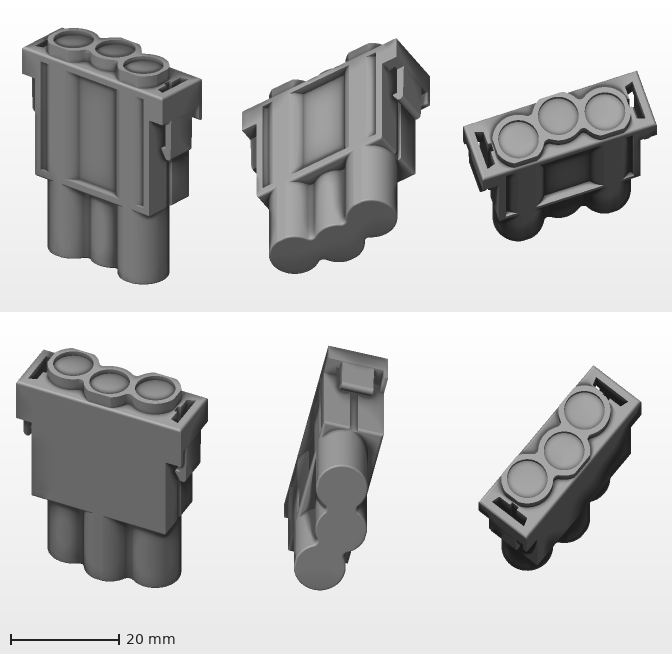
import cadquery as cq
import math

TOP_Z = 42.9
FLANGE_TOP_Z = 40.4
FLANGE_BOTTOM_Z = 34.9
LIP_BOTTOM_Z = 32.0
HOUSING_BOTTOM_Z = 14.9

FLANGE_LENGTH = 34.0
HOUSING_LENGTH = 27.63
BODY_WIDTH = 11.4
EDGE_RADIUS = 0.5
LIP_THICKNESS = 0.85
LIP_RADIUS = 0.45

BARREL_PITCH = 8.45
BARREL_STAGGER = 1.0
BARREL_RADIUS = 4.8
VALLEY_RADIUS = 1.0
BARREL_CENTERS = [
    (-BARREL_PITCH, -BARREL_STAGGER),
    (0, BARREL_STAGGER),
    (BARREL_PITCH, -BARREL_STAGGER),
]
BARREL_END_RADIUS = 0.35
COLLAR_LENGTH = 26.0
COLLAR_WIDTH = 10.45
POCKET_DIAMETER = 7.5
POCKET_DEPTH = 1.0

WINDOW_BOTTOM_Z = 16.5
WINDOW_TOP_Z = 38.85
SLEEVE_RADIUS = 5.05
SIDE_WINDOW_OUTER_X = 12.5
WINDOW_CORNER_RADIUS = 0.55

SLOT_OUTER_X = 15.45
SLOT_OUTER_WIDTH = 7.65
SLOT_INNER_WIDTH = 6.6
GROOVE_FLOOR_X = 13.15
GROOVE_WIDTH = 1.6

LATCH_WIDTH = 6.0
LATCH_ROOT_X = 16.9
LATCH_END_X = 16.75
HOOK_TIP_X = 14.5
HOOK_TOP_Z = 28.53
HOOK_NOSE = 0.3
LATCH_ROUND_Z = 27.15
LATCH_BOTTOM_Z = 26.43
RAMP_END_X = 15.35
RAMP_END_Z = 26.85

FRONT_Y = -BODY_WIDTH / 2
HOUSING_END_X = HOUSING_LENGTH / 2


def block(x_min, x_max, y_min, y_max, z_min, z_max):
    """Box given by its limits on each axis."""
    size = (x_max - x_min, y_max - y_min, z_max - z_min)
    return cq.Workplane("XY").box(*size, centered=False).translate((x_min, y_min, z_min))


def centered_block(length, width, z_min, z_max):
    """Box centered on the Z axis."""
    return block(-length / 2, length / 2, -width / 2, width / 2, z_min, z_max)


def both_ends(shape):
    """The shape together with its mirror image on the -X end."""
    return shape.union(shape.mirror("YZ"))


def barrel_row(length, width, z_min, z_max):
    """Three merged barrels with rounded valleys, trimmed flat to a length and width."""
    row = cq.Workplane("XY")
    for x, y in BARREL_CENTERS:
        barrel = cq.Workplane("XY", origin=(x, y, z_min)).circle(BARREL_RADIUS).extrude(z_max - z_min)
        row = row.union(barrel)
    valley_zone = cq.selectors.BoxSelector(
        (-BARREL_PITCH, FRONT_Y, z_min), (BARREL_PITCH, -FRONT_Y, z_max)
    )
    row = row.edges("|Z").edges(valley_zone).fillet(VALLEY_RADIUS)
    return row.intersect(centered_block(length, width, z_min, z_max))


def flange():
    """Top plate with a rounded rim and a lip at the back of each end."""
    plate = centered_block(FLANGE_LENGTH, BODY_WIDTH, FLANGE_BOTTOM_Z, FLANGE_TOP_Z)
    plate = plate.faces(">Z").edges().fillet(EDGE_RADIUS)
    back_y = BODY_WIDTH / 2
    lip = block(
        HOUSING_END_X, FLANGE_LENGTH / 2, back_y - LIP_THICKNESS, back_y, LIP_BOTTOM_Z, FLANGE_BOTTOM_Z
    )
    lip = lip.edges("<Y and <Z").fillet(LIP_RADIUS)
    return plate.union(both_ends(lip))


def housing():
    """Main block between the flange and the lower barrels, flush with the flange front."""
    body = centered_block(HOUSING_LENGTH, BODY_WIDTH, HOUSING_BOTTOM_Z, FLANGE_TOP_Z - EDGE_RADIUS)
    return body.faces("<Z").edges().fillet(EDGE_RADIUS)


def latch():
    """Slightly tapered arm with an inward hook and a rounded tip."""
    arm_inner_x = SLOT_OUTER_X
    return (
        cq.Workplane("XZ", origin=(0, LATCH_WIDTH / 2, 0))
        .moveTo(arm_inner_x, FLANGE_BOTTOM_Z)
        .lineTo(LATCH_ROOT_X, FLANGE_BOTTOM_Z)
        .lineTo(LATCH_END_X, LATCH_ROUND_Z)
        .threePointArc(((LATCH_END_X + RAMP_END_X) / 2, LATCH_BOTTOM_Z), (RAMP_END_X, RAMP_END_Z))
        .lineTo(HOOK_TIP_X, HOOK_TOP_Z - HOOK_NOSE)
        .lineTo(HOOK_TIP_X, HOOK_TOP_Z)
        .lineTo(arm_inner_x, HOOK_TOP_Z)
        .close()
        .extrude(LATCH_WIDTH)
    )


def latch_slot():
    """Tapered opening through the flange above a latch."""
    return (
        cq.Workplane("XY", origin=(0, 0, FLANGE_BOTTOM_Z))
        .moveTo(HOUSING_END_X, -SLOT_INNER_WIDTH / 2)
        .lineTo(SLOT_OUTER_X, -SLOT_OUTER_WIDTH / 2)
        .lineTo(SLOT_OUTER_X, SLOT_OUTER_WIDTH / 2)
        .lineTo(HOUSING_END_X, SLOT_INNER_WIDTH / 2)
        .close()
        .extrude(FLANGE_TOP_Z - FLANGE_BOTTOM_Z)
    )


def guide_groove():
    """Straight groove down the housing end, from the flange top to the housing bottom."""
    half = GROOVE_WIDTH / 2
    return block(GROOVE_FLOOR_X, HOUSING_END_X, -half, half, HOUSING_BOTTOM_Z, FLANGE_TOP_Z)


def center_window():
    """Flat-floored recess whose sides follow the sleeves of the outer barrels."""
    floor_y = BARREL_STAGGER - SLEEVE_RADIUS
    recess = block(-BARREL_PITCH, BARREL_PITCH, FRONT_Y, floor_y, WINDOW_BOTTOM_Z, WINDOW_TOP_Z)
    for x in (-BARREL_PITCH, BARREL_PITCH):
        sleeve = (
            cq.Workplane("XY", origin=(x, -BARREL_STAGGER, WINDOW_BOTTOM_Z))
            .circle(SLEEVE_RADIUS)
            .extrude(WINDOW_TOP_Z - WINDOW_BOTTOM_Z)
        )
        recess = recess.cut(sleeve)
    return recess


def side_window():
    """Narrow recess between an outer barrel sleeve and a wall, with a rounded inner corner."""
    front_depth = -BARREL_STAGGER - FRONT_Y
    inner_x = BARREL_PITCH + math.sqrt(SLEEVE_RADIUS**2 - front_depth**2)

    reach = SLEEVE_RADIUS + WINDOW_CORNER_RADIUS
    corner_x = SIDE_WINDOW_OUTER_X - WINDOW_CORNER_RADIUS
    touch_angle = math.acos((corner_x - BARREL_PITCH) / reach)
    corner_y = -BARREL_STAGGER - reach * math.sin(touch_angle)

    def on_sleeve(angle):
        x = BARREL_PITCH + SLEEVE_RADIUS * math.cos(angle)
        return (x, -BARREL_STAGGER - SLEEVE_RADIUS * math.sin(angle))

    front_angle = math.asin(front_depth / SLEEVE_RADIUS)
    corner_mid_angle = (math.pi - touch_angle) / 2
    corner_mid = (
        corner_x + WINDOW_CORNER_RADIUS * math.cos(corner_mid_angle),
        corner_y + WINDOW_CORNER_RADIUS * math.sin(corner_mid_angle),
    )
    return (
        cq.Workplane("XY", origin=(0, 0, WINDOW_BOTTOM_Z))
        .moveTo(inner_x, FRONT_Y)
        .threePointArc(on_sleeve((front_angle + touch_angle) / 2), on_sleeve(touch_angle))
        .threePointArc(corner_mid, (SIDE_WINDOW_OUTER_X, corner_y))
        .lineTo(SIDE_WINDOW_OUTER_X, FRONT_Y)
        .close()
        .extrude(WINDOW_TOP_Z - WINDOW_BOTTOM_Z)
    )


def contact_pockets():
    """Round recesses in the collar top, one per barrel."""
    return (
        cq.Workplane("XY", origin=(0, 0, TOP_Z - POCKET_DEPTH))
        .pushPoints(BARREL_CENTERS)
        .circle(POCKET_DIAMETER / 2)
        .extrude(POCKET_DEPTH)
    )


lower_barrels = barrel_row(FLANGE_LENGTH, BODY_WIDTH, 0, HOUSING_BOTTOM_Z + EDGE_RADIUS)
lower_barrels = lower_barrels.faces("<Z").edges().fillet(BARREL_END_RADIUS)
collar = barrel_row(COLLAR_LENGTH, COLLAR_WIDTH, FLANGE_BOTTOM_Z, TOP_Z)

result = (
    housing()
    .union(flange())
    .union(lower_barrels)
    .union(collar)
    .union(both_ends(latch()))
    .cut(both_ends(latch_slot()))
    .cut(both_ends(guide_groove()))
    .cut(center_window())
    .cut(both_ends(side_window()))
    .cut(contact_pockets())
)